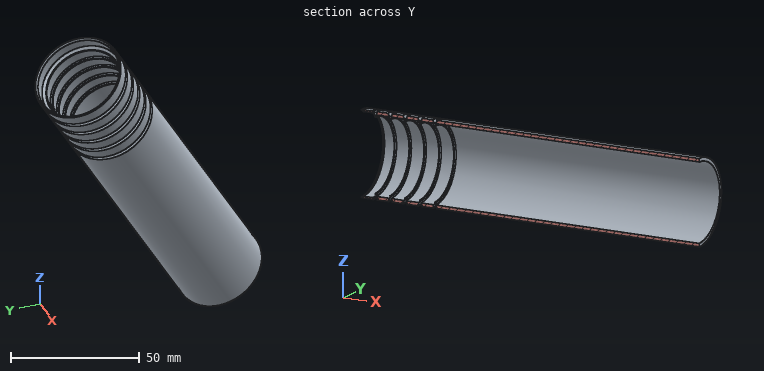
import cadquery as cq

length = 150.6
outer_diameter = 36.0
bore_diameter = 32.8
mouth_diameter = 34.2

rim_diameter = 35.4
outer_bevel_length = 0.5
inner_bevel_length = 1.0

corrugation_count = 5
corrugation_pitch = 6.6
first_center = 6.3
groove_width = 1.8
groove_root_diameter = 31.6
ridge_crest_diameter = 31.0
ridge_base_width = 0.9
ridge_crest_width = 0.3

mouth_depth = first_center - groove_width / 2


def revolve_about_axis(points):
    """Revolve an (x, radius) outline about the tube axis."""
    outline = cq.Workplane("XY").polyline(points).close()
    return outline.revolve(360, (0, 0, 0), (1, 0, 0))


def make_tube():
    return revolve_about_axis([
        (0, rim_diameter / 2),
        (outer_bevel_length, outer_diameter / 2),
        (length, outer_diameter / 2),
        (length, bore_diameter / 2),
        (first_center + ridge_base_width / 2, bore_diameter / 2),
        (first_center + ridge_crest_width / 2, ridge_crest_diameter / 2),
        (first_center - ridge_crest_width / 2, ridge_crest_diameter / 2),
        (mouth_depth, mouth_diameter / 2),
        (inner_bevel_length, mouth_diameter / 2),
    ])


def make_ridge(center):
    base_radius = (outer_diameter + bore_diameter) / 4
    return revolve_about_axis([
        (center - ridge_base_width / 2, base_radius),
        (center - ridge_base_width / 2, bore_diameter / 2),
        (center - ridge_crest_width / 2, ridge_crest_diameter / 2),
        (center + ridge_crest_width / 2, ridge_crest_diameter / 2),
        (center + ridge_base_width / 2, bore_diameter / 2),
        (center + ridge_base_width / 2, base_radius),
    ])


def make_groove(center):
    return revolve_about_axis([
        (center - groove_width / 2, outer_diameter / 2),
        (center, groove_root_diameter / 2),
        (center + groove_width / 2, outer_diameter / 2),
    ])


result = make_tube()
for i in range(corrugation_count):
    center = first_center + i * corrugation_pitch
    if i > 0:
        result = result.union(make_ridge(center))
    result = result.cut(make_groove(center))